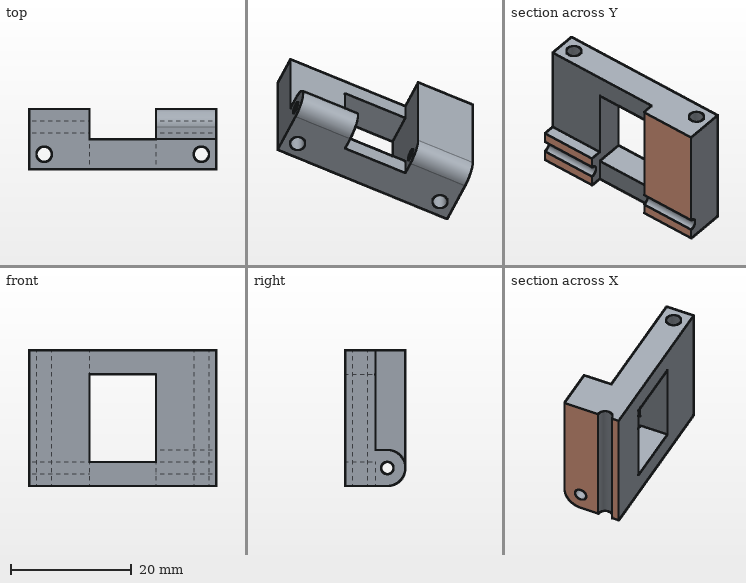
import cadquery as cq

width = 31.0
height = 22.5
plate_thickness = 5.0
depth = 10.0

arm_width = 10.0
window_width = width - 2 * arm_width
window_margin = 4.0
window_height = height - 2 * window_margin

knuckle_radius = 3.0
hinge_y = depth - knuckle_radius
hinge_z = knuckle_radius
hinge_hole_diameter = 2.0

mount_hole_diameter = 2.5
mount_hole_inset = plate_thickness / 2


def make_plate():
    """Flat plate with its front face on Y = 0 and a central window."""
    plate = cq.Workplane("XY").box(width, plate_thickness, height, centered=False)
    window = (
        cq.Workplane("XY")
        .box(window_width, plate_thickness, window_height, centered=False)
        .translate((arm_width, 0, window_margin))
    )
    return plate.cut(window)


def make_tall_arm():
    """Full-height arm at the low X end, rounded along its lower rear edge."""
    return (
        cq.Workplane("XY")
        .box(arm_width, depth, height, centered=False)
        .edges("|X and >Y and <Z")
        .fillet(knuckle_radius)
    )


def make_hinge_lug():
    """Low lug at the high X end, ending in a half-round knuckle."""
    return (
        cq.Workplane("YZ")
        .workplane(offset=width - arm_width)
        .lineTo(hinge_y, 0)
        .threePointArc((depth, hinge_z), (hinge_y, 2 * knuckle_radius))
        .lineTo(0, 2 * knuckle_radius)
        .close()
        .extrude(arm_width)
    )


def make_hinge_hole():
    """Hinge pin hole running through both the arm and the lug."""
    return (
        cq.Workplane("YZ")
        .center(hinge_y, hinge_z)
        .circle(hinge_hole_diameter / 2)
        .extrude(width)
    )


def make_mount_holes():
    """Vertical holes through the full height, one near each end."""
    hole_positions = [
        (mount_hole_inset, plate_thickness / 2),
        (width - mount_hole_inset, plate_thickness / 2),
    ]
    return (
        cq.Workplane("XY")
        .pushPoints(hole_positions)
        .circle(mount_hole_diameter / 2)
        .extrude(height)
    )


body = make_plate().union(make_tall_arm()).union(make_hinge_lug())
result = body.cut(make_hinge_hole()).cut(make_mount_holes())